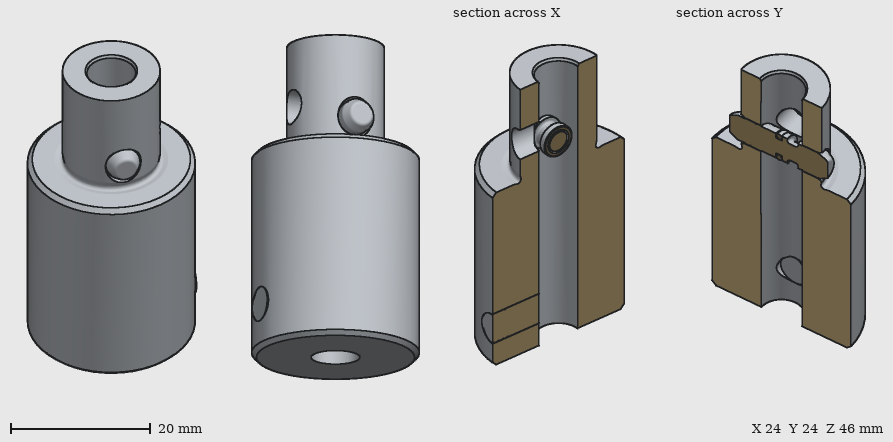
import cadquery as cq
import math

total_height = 46.0
sleeve_radius = 12.0
sleeve_height = 30.0
sleeve_chamfer = 0.7
shaft_radius = 7.0
bore_radius = 3.5
bore_countersink_width = 0.25
bore_countersink_depth = 0.4

relief_reach = 1.15
relief_angle = 12.0
relief_fillet = 0.5

pin_diameter = 5.0
pin_radius = pin_diameter / 2
pin_axis_z = 34.0
pin_hole_mouth_radius = 2.95
pin_hole_mouth_half_angle = 30.0

wall_hole_diameter = 5.0
shaft_hole_radius = wall_hole_diameter / 2
shaft_hole_z = 36.4
screw_radius = wall_hole_diameter / 2
screw_z = 6.5
screw_outer_y = 11.95
screw_inner_y = bore_radius

pin_left_x = -8.95
pin_right_x = 8.0
pin_taper_length = 1.4
pin_taper_half_angle = 30.0
pin_edge_fillet = 0.5

neck_left_x = 1.05
neck_right_x = 2.8
neck_radius = 1.7
neck_fillet = 0.35

ring_centre_x = -0.4
ring_section_radius = 0.5
ring_crest_radius = 2.6
ring_path_radius = ring_crest_radius - ring_section_radius
ring_groove_radius = ring_path_radius - ring_section_radius


def revolve_about_z(outline):
    return cq.Workplane("XZ").polyline(outline).close().revolve(360, (0, 0), (0, 1))


def revolve_about_x(outline):
    return cq.Workplane("XY").polyline(outline).close().revolve(360, (0, 0), (1, 0))


def rod_along_y(radius, start_y, end_y, z):
    rod = cq.Solid.makeCylinder(radius, end_y - start_y, cq.Vector(0, start_y, z), cq.Vector(0, 1, 0))
    return cq.Workplane(obj=rod)


def make_relief_groove():
    slope = math.tan(math.radians(relief_angle))
    corner_depth = relief_reach * slope / (1 - slope)
    groove = revolve_about_z([
        (shaft_radius, sleeve_height + relief_reach),
        (shaft_radius - corner_depth, sleeve_height - corner_depth),
        (shaft_radius + relief_reach, sleeve_height),
    ])
    return groove.edges(cq.selectors.RadiusNthSelector(0)).fillet(relief_fillet)


def make_pin_hole():
    mouth_depth = (pin_hole_mouth_radius - pin_radius) / math.tan(math.radians(pin_hole_mouth_half_angle))
    mouth_floor_x = shaft_radius - mouth_depth
    hole = revolve_about_x([
        (-shaft_radius, 0),
        (-shaft_radius, pin_hole_mouth_radius),
        (-mouth_floor_x, pin_radius),
        (mouth_floor_x, pin_radius),
        (shaft_radius, pin_hole_mouth_radius),
        (shaft_radius, 0),
    ])
    return hole.translate((0, 0, pin_axis_z))


def make_holder():
    holder = revolve_about_z([
        (bore_radius, 0),
        (sleeve_radius - sleeve_chamfer, 0),
        (sleeve_radius, sleeve_chamfer),
        (sleeve_radius, sleeve_height - sleeve_chamfer),
        (sleeve_radius - sleeve_chamfer, sleeve_height),
        (shaft_radius, sleeve_height),
        (shaft_radius, total_height),
        (bore_radius + bore_countersink_width, total_height),
        (bore_radius, total_height - bore_countersink_depth),
    ])
    shaft_hole = rod_along_y(shaft_hole_radius, 0, shaft_radius, shaft_hole_z)
    screw_hole = rod_along_y(screw_radius, 0, sleeve_radius, screw_z)
    return holder.cut(make_relief_groove()).cut(make_pin_hole()).cut(shaft_hole).cut(screw_hole).solids()


def make_pin():
    end_radius = pin_radius - pin_taper_length * math.tan(math.radians(pin_taper_half_angle))
    pin = revolve_about_x([
        (pin_left_x, 0),
        (pin_left_x, end_radius),
        (pin_left_x + pin_taper_length, pin_radius),
        (pin_right_x - pin_taper_length, pin_radius),
        (pin_right_x, end_radius),
        (pin_right_x, 0),
    ])
    pin = pin.edges("%CIRCLE").fillet(pin_edge_fillet)
    return pin.cut(make_neck()).cut(make_ring_groove()).solids().translate((0, 0, pin_axis_z))


def make_neck():
    neck = (
        cq.Workplane("YZ", origin=(neck_left_x, 0, 0))
        .circle(pin_radius)
        .circle(neck_radius)
        .extrude(neck_right_x - neck_left_x)
    )
    root = cq.selectors.RadiusNthSelector(0)
    neck = neck.faces("<X").edges(root).fillet(neck_fillet)
    return neck.faces(">X").edges(root).fillet(neck_fillet)


def make_ring_groove():
    return (
        cq.Workplane("YZ", origin=(ring_centre_x - ring_section_radius, 0, 0))
        .circle(pin_radius)
        .circle(ring_groove_radius)
        .extrude(2 * ring_section_radius)
    )


def make_ring():
    ring = (
        cq.Workplane("XY")
        .center(ring_centre_x, ring_path_radius)
        .circle(ring_section_radius)
        .revolve(360, (0, -ring_path_radius), (1, -ring_path_radius))
    )
    return ring.translate((0, 0, pin_axis_z))


def make_set_screw():
    return rod_along_y(screw_radius, screw_inner_y, screw_outer_y, screw_z)


holder = make_holder()
pin = make_pin()
ring = make_ring()
set_screw = make_set_screw()

result = cq.Compound.makeCompound([holder.val(), pin.val(), ring.val(), set_screw.val()])